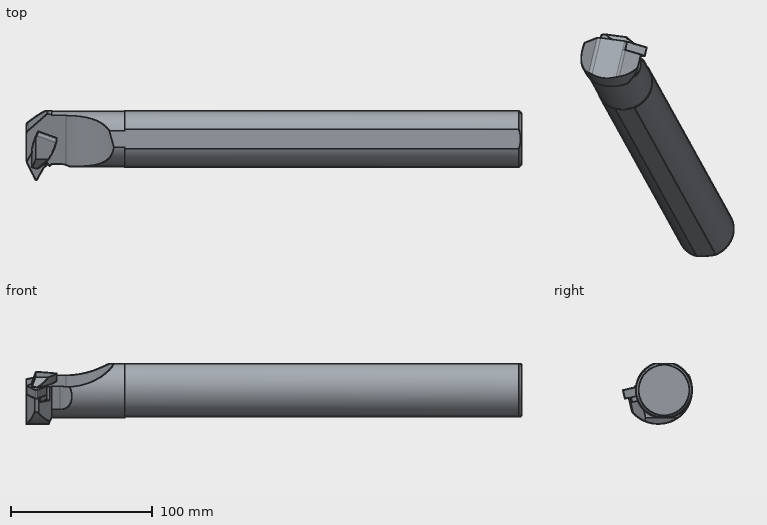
import cadquery as cq
import math

bar_length = 349.5
shank_diameter = 40.0
shank_start = 69.5
across_flats = 37.5
end_chamfer = 2.0

neck_diameter = 39.0
head_diameter = 48.0
head_offset = (head_diameter - shank_diameter) / 2
head_length = 18.0
heel_bevel_length = 2.0

tilt = 13.0
nose_y = -29.0
tilt_sin = math.sin(math.radians(tilt))
tilt_cos = math.cos(math.radians(tilt))
reach = 105.0

dish_start = 28.0
dish_radius = 50.5

bend_v = 14.0
nose_tip = (6.0, 2.8)
nose_flank_start = (8.7, 3.5)
relief_v = 11.5
relief_start = 18.2
relief_arc_start = 23.8
relief_arc_radius = 14.0
relief_arc_angle = 45.0
corner_v = 34.5
bevel_angle = 42.0
end_fillet = 4.2

insert_edge = 15.5
insert_angle = 55.0
insert_turn = 1.5
insert_thickness = 6.3
insert_nose_radius = 0.7
insert_u = 7.0
notch_end_u = 16.5
seat_undercut = 3.5

clamp_height = 5.5
clamp_back_left = (8.5, 35.3)
clamp_back_right = (21.5, 30.5)
clamp_left_mid = (4.0, 21.5)
clamp_left_front = (4.0, 9.5)
clamp_tip = (7.7, 8.0)
clamp_right_mid = (18.0, 19.5)
clamp_back_fillet = 2.0
clamp_flank_width = 2.8
clamp_slope_length = 8.5


def seat_plane(w=0.0):
    """Plane parallel to the seat face at height w above it."""
    normal = (0, -tilt_sin, tilt_cos)
    origin = (0, nose_y - w * tilt_sin, w * tilt_cos)
    return cq.Workplane(cq.Plane(origin=origin, xDir=(1, 0, 0), normal=normal))


def seat_side_plane():
    """U-W plane through the nose, facing along -V."""
    normal = (0, -tilt_cos, -tilt_sin)
    return cq.Workplane(cq.Plane(origin=(0, nose_y, 0), xDir=(1, 0, 0), normal=normal))


def x_cylinder(diameter, start, end, y=0.0):
    return cq.Workplane("YZ", origin=(start, y, 0)).circle(diameter / 2).extrude(end - start)


def along(point, angle, distance):
    """Point reached from `point` at `angle` degrees from V towards +U."""
    a = math.radians(angle)
    return (point[0] + distance * math.sin(a), point[1] + distance * math.cos(a))


half_angle = insert_angle / 2
nose_overhang = insert_nose_radius * (1 / math.sin(math.radians(half_angle)) - 1)
left_angle = insert_turn - half_angle
right_angle = insert_turn + half_angle
sharp_corner = (insert_u, -nose_overhang)
left_corner = along(sharp_corner, left_angle, insert_edge)
right_corner = along(sharp_corner, right_angle, insert_edge)
back_corner = along(left_corner, right_angle, insert_edge)


def make_insert_blank():
    return (
        seat_plane(-insert_thickness)
        .polyline([sharp_corner, right_corner, back_corner, left_corner])
        .close()
        .extrude(insert_thickness)
    )


def make_insert():
    nose_point = seat_plane().plane.toWorldCoords((*sharp_corner, -insert_thickness / 2))
    nose_edge = cq.selectors.NearestToPointSelector(nose_point.toTuple())
    return make_insert_blank().edges(nose_edge).fillet(insert_nose_radius)


def make_shank():
    shank = x_cylinder(shank_diameter, shank_start, bar_length).faces(">X").chamfer(end_chamfer)
    between_flats = cq.Workplane("XY").box(2 * bar_length, reach, across_flats)
    return shank.intersect(between_flats)


def make_neck():
    neck = x_cylinder(neck_diameter, 0, shank_start)
    below_flat = cq.Workplane("XY").box(2 * bar_length, reach, reach)
    below_flat = below_flat.translate((0, 0, across_flats / 2 - reach / 2))
    return neck.intersect(below_flat)


def dish_cutter():
    """Space above the seat face, closed by a quarter circle that rises tangent to it."""
    middle = math.radians(90 / 2)
    arc_middle = (
        dish_start + dish_radius * math.sin(middle),
        dish_radius * (1 - math.cos(middle)),
    )
    return (
        seat_side_plane()
        .moveTo(-reach, 0)
        .lineTo(dish_start, 0)
        .threePointArc(arc_middle, (dish_start + dish_radius, dish_radius))
        .lineTo(-reach, dish_radius)
        .close()
        .extrude(reach, both=True)
    )


def heel_bevel():
    """Cutter for the bevel on the back lower edge of the disc, below the neck."""
    return (
        cq.Workplane("XZ")
        .polyline([
            (head_length, -neck_diameter / 2),
            (head_length - heel_bevel_length, -head_diameter / 2),
            (head_length, -head_diameter / 2),
        ])
        .close()
        .extrude(reach, both=True)
    )


def plan_prism():
    """Prism across the seat face that trims the end face, nose, relief and back bevel."""
    arc_angle = math.radians(relief_arc_angle)
    arc_point = (
        relief_arc_start + relief_arc_radius * math.sin(arc_angle / 2),
        relief_v - relief_arc_radius * (1 - math.cos(arc_angle / 2)),
    )
    arc_end = (
        relief_arc_start + relief_arc_radius * math.sin(arc_angle),
        relief_v - relief_arc_radius * (1 - math.cos(arc_angle)),
    )
    bevel_top = corner_v + reach * math.tan(math.radians(bevel_angle))
    prism = (
        seat_plane(-reach)
        .moveTo(0, corner_v)
        .lineTo(0, bend_v)
        .lineTo(*nose_tip)
        .lineTo(*nose_flank_start)
        .lineTo(relief_start, relief_v)
        .lineTo(relief_arc_start, relief_v)
        .threePointArc(arc_point, arc_end)
        .lineTo(arc_end[0], -reach)
        .lineTo(reach, -reach)
        .lineTo(reach, bevel_top)
        .close()
        .extrude(2 * reach)
    )
    for v in (corner_v, bend_v):
        corner = seat_plane().plane.toWorldCoords((0, v, 0))
        prism = prism.edges(cq.selectors.NearestToPointSelector(corner.toTuple())).fillet(end_fillet)
    return prism


def edge_trim():
    """Wedge beside the right cutting edge, removed at and just below insert level."""
    trim_depth = insert_thickness + seat_undercut
    flank_slope = (relief_v - nose_flank_start[1]) / (relief_start - nose_flank_start[0])
    notch_end_v = relief_v - flank_slope * (relief_start - notch_end_u)
    return (
        seat_plane(-trim_depth)
        .polyline([
            sharp_corner,
            right_corner,
            (notch_end_u, notch_end_v),
            (notch_end_u, sharp_corner[1]),
        ])
        .close()
        .extrude(trim_depth)
    )


def make_clamp():
    clamp = (
        seat_plane()
        .moveTo(*clamp_back_left)
        .threePointArc(clamp_left_mid, clamp_left_front)
        .lineTo(*clamp_tip)
        .threePointArc(clamp_right_mid, clamp_back_right)
        .close()
        .extrude(clamp_height)
    )
    back_top = seat_plane().plane.toWorldCoords((
        (clamp_back_left[0] + clamp_back_right[0]) / 2,
        (clamp_back_left[1] + clamp_back_right[1]) / 2,
        clamp_height,
    ))
    back_edge = cq.selectors.NearestToPointSelector(back_top.toTuple())
    clamp = clamp.edges(back_edge).fillet(clamp_back_fillet)

    left_u = clamp_left_front[0]
    flank = (
        seat_side_plane()
        .polyline([
            (left_u, 0),
            (left_u + clamp_flank_width, clamp_height),
            (0, clamp_height),
            (0, 0),
        ])
        .close()
        .extrude(reach, both=True)
    )

    tip_v = clamp_tip[1]
    slope_plane = cq.Plane(origin=(0, nose_y, 0), xDir=(0, tilt_cos, tilt_sin), normal=(1, 0, 0))
    slope = (
        cq.Workplane(slope_plane)
        .polyline([
            (tip_v, 0),
            (tip_v + clamp_slope_length, clamp_height),
            (tip_v, clamp_height),
        ])
        .close()
        .extrude(reach)
    )
    return clamp.cut(flank).cut(slope)


def make_bar():
    disc = x_cylinder(head_diameter, 0, head_length, -head_offset).cut(heel_bevel())
    head = disc.union(make_neck())
    head = head.cut(dish_cutter()).intersect(plan_prism()).cut(edge_trim())
    bar = head.union(make_shank()).union(make_clamp())
    return bar.cut(make_insert_blank())


bar = make_bar()
insert = make_insert()

result = cq.Compound.makeCompound([bar.solids().val(), insert.solids().val()])